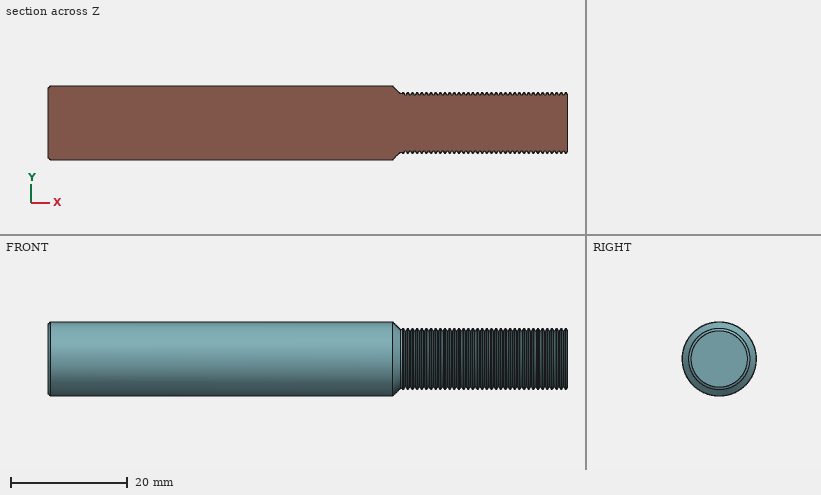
import cadquery as cq
import math

total_length = 88.9
shank_radius = 6.36
end_chamfer = 0.45

shoulder_length = 1.3
neck_radius = 5.1

ring_count = 36
thread_length = 28.6
crest_radius = 5.25
flank_half_angle = math.radians(30)
pitch = thread_length / ring_count
crest_flat = pitch / 8
root_flat = pitch / 4
flank_length = (pitch - crest_flat - root_flat) / 2
root_radius = crest_radius - flank_length / math.tan(flank_half_angle)

left_end = -total_length / 2
right_end = total_length / 2
thread_start = right_end - thread_length
shank_end = thread_start - shoulder_length
first_ring_start = thread_start + root_flat
neck_end = first_ring_start + (neck_radius - root_radius) * math.tan(flank_half_angle)


def shank_points():
    """Shank, shoulder and neck as (x, radius), from the axis to the first thread flank."""
    return [
        (left_end, 0),
        (left_end, shank_radius - end_chamfer),
        (left_end + end_chamfer, shank_radius),
        (shank_end, shank_radius),
        (thread_start, neck_radius),
        (neck_end, neck_radius),
    ]


def ring_points(start):
    """One thread ring as (x, radius): flank foot, both crest edges, flank foot."""
    crest_start = start + flank_length
    crest_end = crest_start + crest_flat
    return [
        (start, root_radius),
        (crest_start, crest_radius),
        (crest_end, crest_radius),
        (crest_end + flank_length, root_radius),
    ]


outline = shank_points() + ring_points(first_ring_start)[1:]
for ring in range(1, ring_count):
    outline += ring_points(first_ring_start + ring * pitch)
outline.append((right_end, 0))

result = cq.Workplane("XZ").polyline(outline).close().revolve(360, (0, 0, 0), (1, 0, 0))